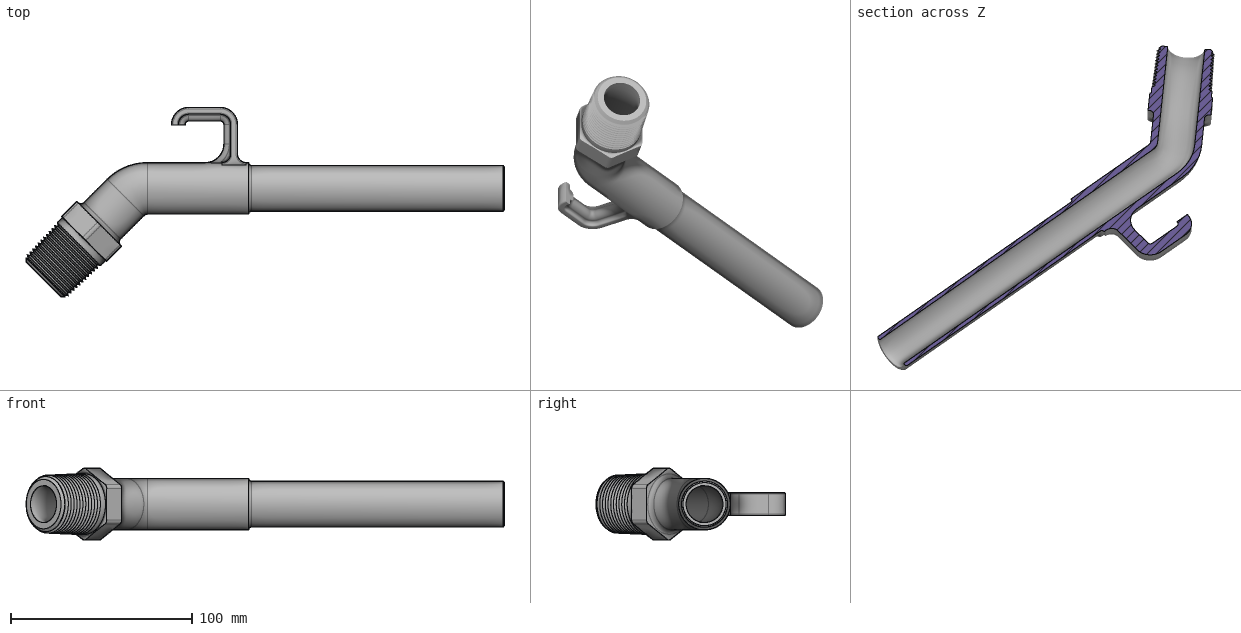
import cadquery as cq
import math

tube_diameter = 25.4
tube_end_x = 197.09
tube_end_chamfer = 0.8
sleeve_diameter = 28.575
sleeve_radius = sleeve_diameter / 2
sleeve_end_x = 55.88
sleeve_end_fillet = 1.5
bore_diameter = 20.32

bend_radius = 17.2
bend_angle = 45.0
leg_length = 64.05

hex_height = 39.77
hex_corner_radius = 2.5
hex_length = 11.9
hex_front_to_end = 31.6
hex_chamfer_height = 0.3
hex_base_fillet = 2.4

neck_diameter = 33.66
neck_length = 4.0
thread_pitch = 25.4 / 11.5
thread_depth = 0.8 * thread_pitch
thread_count = 12
thread_taper = 1 / 16
end_chamfer = 2.36

hook_width = 12.7
hook_thickness = 7.62
hook_top_y = sleeve_radius + 30.48
hook_back_x = 49.7
hook_tip_x = 13.2
hook_tip_drop = 9.9
hook_outer_radius = 9.525
strip_thickness = 3.81
strip_base_fillet = 4.76
strip_edge_fillet = 0.8
rib_width = 6.35
rib_base_fillet = 10.16
rib_edge_fillet = 3.1
rib_root_fillet = 0.6

pick_margin = 0.01

bend_sin = math.sin(math.radians(bend_angle))
bend_cos = math.cos(math.radians(bend_angle))
leg_direction = cq.Vector(-bend_cos, -bend_sin, 0)
bend_end = cq.Vector(-bend_radius * bend_sin, -bend_radius * (1 - bend_cos), 0)
hex_front = leg_length - hex_front_to_end
hex_back = hex_front - hex_length


def leg_section_plane():
    """Half-section plane of the leg: x is the radius, y the distance from the bend."""
    z_axis = cq.Vector(0, 0, 1)
    return cq.Plane(origin=bend_end, xDir=z_axis, normal=z_axis.cross(leg_direction))


def leg_cross_plane(distance):
    """Plane square to the leg at a distance from the bend, x toward global Z."""
    return cq.Plane(origin=bend_end + leg_direction * distance, xDir=(0, 0, 1), normal=leg_direction)


def revolve_on_leg(section):
    return section.close().revolve(360, (0, 0, 0), (0, 1, 0))


def cylinder_x(diameter, start_x, end_x):
    return cq.Workplane("YZ", origin=(start_x, 0, 0)).circle(diameter / 2).extrude(end_x - start_x)


def bent_rod(diameter):
    """The 45 degree bend joining the tube to the leg."""
    return cq.Workplane("YZ").circle(diameter / 2).revolve(
        bend_angle, (-bend_radius, -1, 0), (-bend_radius, 1, 0))


def leg_rod(diameter, length):
    return cq.Workplane(leg_cross_plane(0)).circle(diameter / 2).extrude(length)


def make_tube():
    tube = cylinder_x(tube_diameter, 0, tube_end_x).faces(">X").chamfer(tube_end_chamfer)
    sleeve = cylinder_x(sleeve_diameter, 0, sleeve_end_x)
    sleeve_end = cq.selectors.BoxSelector(
        (sleeve_end_x - pick_margin, -sleeve_diameter, -sleeve_diameter),
        (sleeve_end_x + pick_margin, sleeve_diameter, sleeve_diameter))
    step_edge = cq.selectors.RadiusNthSelector(0)
    stepped = sleeve.union(tube).faces(sleeve_end).edges(step_edge).fillet(sleeve_end_fillet)
    return stepped.union(bent_rod(sleeve_diameter)).union(leg_rod(sleeve_diameter, hex_back))


def make_hexagon():
    corner_loss = hex_corner_radius * (1 / math.cos(math.pi / 6) - 1)
    across_corners = hex_height + 2 * corner_loss
    apothem = across_corners / 2 * math.cos(math.pi / 6)
    hexagon = cq.Workplane(leg_cross_plane(hex_back)).polygon(6, across_corners).extrude(hex_length)
    hexagon = hexagon.edges(cq.selectors.ParallelDirSelector(leg_direction)).fillet(hex_corner_radius)
    envelope = revolve_on_leg(
        cq.Workplane(leg_section_plane())
        .moveTo(0, hex_back)
        .lineTo(across_corners / 2, hex_back)
        .lineTo(across_corners / 2, hex_front - hex_chamfer_height)
        .lineTo(apothem, hex_front)
        .lineTo(0, hex_front))
    base = revolve_on_leg(
        cq.Workplane(leg_section_plane())
        .moveTo(0, hex_back)
        .lineTo(sleeve_radius + hex_base_fillet, hex_back)
        .radiusArc((sleeve_radius, hex_back - hex_base_fillet), -hex_base_fillet)
        .lineTo(0, hex_back - hex_base_fillet))
    return hexagon.intersect(envelope).union(base)


def make_thread():
    """Smooth neck, then tapered V-shaped rings, chamfered at the free end."""
    thread_start = hex_front + neck_length
    section = (cq.Workplane(leg_section_plane())
               .moveTo(0, hex_front)
               .lineTo(neck_diameter / 2, hex_front)
               .lineTo(neck_diameter / 2, thread_start))
    for ring in range(thread_count):
        root = thread_start + (ring + 0.5) * thread_pitch
        crest = root + thread_pitch / 2
        crest_radius = (neck_diameter - (crest - thread_start) * thread_taper) / 2
        section = section.lineTo(crest_radius - thread_depth, root).lineTo(crest_radius, crest)
    thread = revolve_on_leg(section.lineTo(crest_radius, leg_length).lineTo(0, leg_length))
    end_radius = crest_radius - end_chamfer
    envelope = revolve_on_leg(
        cq.Workplane(leg_section_plane())
        .moveTo(0, hex_front)
        .lineTo(neck_diameter, hex_front)
        .lineTo(neck_diameter, leg_length - neck_diameter + end_radius)
        .lineTo(end_radius, leg_length)
        .lineTo(0, leg_length))
    return thread.intersect(envelope)


def hook_layer(thickness, width, base_fillet):
    """A layer of the hook of given thickness inside its outer face, blended into the sleeve."""
    inner_radius = hook_outer_radius - thickness
    tip_y = hook_top_y - hook_tip_drop
    outer = hook_outer_radius
    inner_top = hook_top_y - thickness
    inner_back = hook_back_x - thickness
    inner_tip = hook_tip_x + thickness
    outline = (
        cq.Workplane("XY")
        .moveTo(hook_back_x + strip_base_fillet, 0)
        .lineTo(hook_back_x + strip_base_fillet, sleeve_radius)
        .radiusArc((hook_back_x, sleeve_radius + strip_base_fillet), strip_base_fillet)
        .lineTo(hook_back_x, hook_top_y - outer)
        .radiusArc((hook_back_x - outer, hook_top_y), -outer)
        .lineTo(hook_tip_x + outer, hook_top_y)
        .radiusArc((hook_tip_x, hook_top_y - outer), -outer)
        .lineTo(hook_tip_x, tip_y)
        .lineTo(inner_tip, tip_y)
        .lineTo(inner_tip, inner_top - inner_radius)
        .radiusArc((inner_tip + inner_radius, inner_top), inner_radius)
        .lineTo(inner_back - inner_radius, inner_top)
        .radiusArc((inner_back, inner_top - inner_radius), inner_radius)
        .lineTo(inner_back, sleeve_radius + base_fillet)
        .radiusArc((inner_back - base_fillet, sleeve_radius), base_fillet)
        .lineTo(inner_back - base_fillet, 0)
        .close())
    return outline.extrude(width / 2, both=True)


def fillet_along_hook(shape, depth, radius):
    """Round the lengthwise edges lying at a depth below the top; each runs on around its bends."""
    y = hook_top_y - depth
    band = cq.selectors.BoxSelector(
        (hook_tip_x, y - pick_margin, -hook_width), (hook_back_x, y + pick_margin, hook_width))
    return shape.edges("|X").edges(band).fillet(radius)


def make_hook():
    strip = hook_layer(strip_thickness, hook_width, strip_base_fillet)
    strip = fillet_along_hook(strip, 0, strip_edge_fillet)
    rib = hook_layer(hook_thickness, rib_width, rib_base_fillet)
    rib = fillet_along_hook(rib, hook_thickness, rib_edge_fillet)
    return fillet_along_hook(strip.union(rib), strip_thickness, rib_root_fillet)


def make_bore():
    return (cylinder_x(bore_diameter, 0, tube_end_x)
            .union(bent_rod(bore_diameter))
            .union(leg_rod(bore_diameter, leg_length)))


body = make_tube().union(make_hook()).union(make_hexagon()).union(make_thread())
result = body.cut(make_bore())